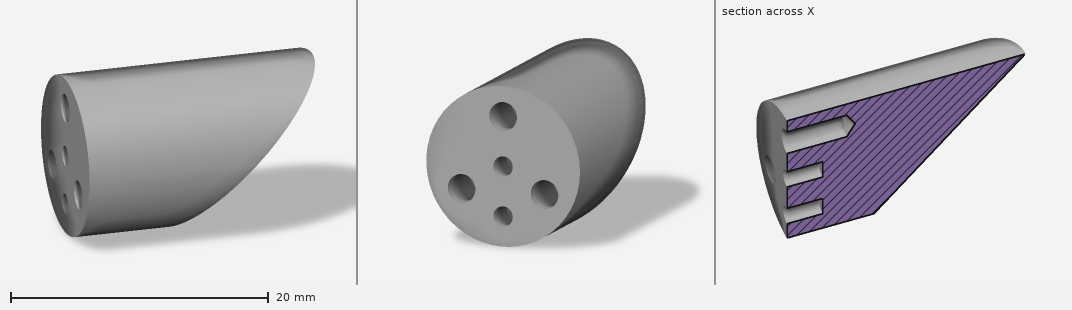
import cadquery as cq
import math

length = 19.98
diameter = 12.7
radius = diameter / 2
short_side = length - diameter

hole_circle_radius = 3.95
mount_hole_diameter = 2.28
mount_hole_depth = 5.0
drill_point_angle = 118.0
mount_hole_count = 3
pin_hole_diameter = 1.6
pin_hole_depth = 3.0


def angled_cylinder():
    """Cylinder trimmed by a 45 degree plane, longest along its top."""
    cylinder = cq.Workplane("XZ").circle(radius).extrude(-length)
    side_profile = (
        cq.Workplane("YZ")
        .moveTo(0, -radius)
        .lineTo(short_side, -radius)
        .lineTo(length, radius)
        .lineTo(0, radius)
        .close()
        .extrude(radius, both=True)
    )
    return cylinder.intersect(side_profile)


def mount_hole(x, z):
    """Drilled hole entering the flat face and ending in a cone."""
    hole_radius = mount_hole_diameter / 2
    tip_length = hole_radius / math.tan(math.radians(drill_point_angle / 2))
    return (
        cq.Workplane("XY")
        .lineTo(hole_radius, 0)
        .lineTo(hole_radius, mount_hole_depth)
        .lineTo(0, mount_hole_depth + tip_length)
        .close()
        .revolve(360, (0, 0, 0), (0, 1, 0))
        .translate((x, 0, z))
    )


def pin_holes():
    """Flat-bottomed holes at the centre and at the bottom of the hole circle."""
    return (
        cq.Workplane("XZ")
        .pushPoints([(0, 0), (0, -hole_circle_radius)])
        .circle(pin_hole_diameter / 2)
        .extrude(-pin_hole_depth)
    )


result = angled_cylinder().cut(pin_holes())
for index in range(mount_hole_count):
    angle = math.radians(90 + index * 360 / mount_hole_count)
    hole_x = hole_circle_radius * math.cos(angle)
    hole_z = hole_circle_radius * math.sin(angle)
    result = result.cut(mount_hole(hole_x, hole_z))